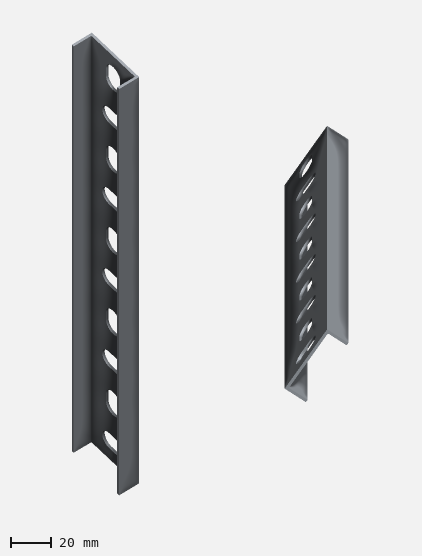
import cadquery as cq

length = 300.0
width = 37.0
depth = 12.52
thickness = 1.5
inner_corner_radius = 0.5

slot_length = 17.0
slot_width = 11.0
slot_pitch = 30.0
slot_count = 10
first_slot_height = 13.5


def channel():
    """U-shaped channel standing on Z = 0, with the back of the web on the plane Y = 0."""
    block = cq.Workplane("XY").box(width, depth, length, centered=(True, False, False))
    hollow = (
        cq.Workplane("XY")
        .box(width - 2 * thickness, depth - thickness, length, centered=(True, False, False))
        .edges("|Z and >Y")
        .fillet(inner_corner_radius)
    )
    return block.cut(hollow).translate((0, -depth, 0))


def slot_cutter(height, angle):
    """Round-ended slot through the web; an angle of 0 lies crosswise and 90 stands upright."""
    return (
        cq.Workplane("XZ")
        .center(0, height)
        .slot2D(slot_length, slot_width, angle)
        .extrude(thickness)
    )


result = channel()
for index in range(slot_count):
    slot_angle = 0 if index % 2 == 0 else 90
    result = result.cut(slot_cutter(first_slot_height + index * slot_pitch, slot_angle))